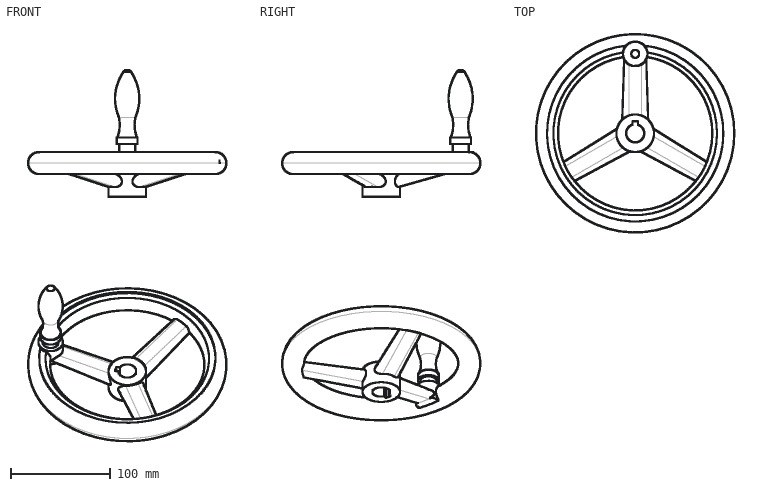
import cadquery as cq

HUB_RADIUS = 19.0
HUB_HEIGHT = 24.5
BORE_RADIUS = 9.0
KEYWAY_WIDTH = 5.5
KEYWAY_REACH = 12.0

WHEEL_RADIUS = 100.0
TUBE_RADIUS = 11.2
RIM_RADIUS = WHEEL_RADIUS - TUBE_RADIUS
RIM_TOP = 45.2
RIM_CENTER_Z = RIM_TOP - TUBE_RADIUS
STEP_DEPTH = 2.0

SPOKE_COUNT = 3
SPOKE_FLAT_WIDTH = 12.8
SPOKE_END = 84.0
SPOKE_INNER_RADIUS = 7.2
SPOKE_OUTER_RADIUS = 4.5
SPOKE_INNER_Z = 12.0
SPOKE_OUTER_Z = 33.2

HANDLE_Y = 80.0
BOSS_RADIUS = 12.5
BOSS_HEIGHT = 19.8
STEM_RADIUS = 8.2
COLLAR_RADIUS = 10.5
COLLAR_BOTTOM = 53.0
COLLAR_TOP = 59.5
SHOULDER_RADIUS = 10.0
NECK_RADIUS = 7.5
NECK_Z = 70.8
GRIP_START_RADIUS = 8.5
GRIP_START_Z = 80.0
GRIP_RADIUS = 12.5
GRIP_WIDEST_Z = 99.0
TIP_RADIUS = 4.0
TIP_EDGE_Z = 126.0
HANDLE_TOP = 128.0


def make_rim():
    tube = cq.Workplane("XZ").center(RIM_RADIUS, RIM_CENTER_Z).circle(TUBE_RADIUS)
    ring = tube.revolve(360, (-RIM_RADIUS, 0, 0), (-RIM_RADIUS, 1, 0))
    step = cq.Workplane("XY", origin=(0, 0, RIM_TOP - STEP_DEPTH)).circle(RIM_RADIUS).extrude(STEP_DEPTH)
    return ring.cut(step)


def make_spoke(angle):
    def section(y, z, radius):
        plane = cq.Workplane("XZ", origin=(0, y, z))
        return plane.slot2D(SPOKE_FLAT_WIDTH + 2 * radius, 2 * radius).wires().val()

    inner = section(0, SPOKE_INNER_Z, SPOKE_INNER_RADIUS)
    outer = section(SPOKE_END, SPOKE_OUTER_Z, SPOKE_OUTER_RADIUS)
    spoke = cq.Workplane(cq.Solid.makeLoft([inner, outer], True))
    return spoke.rotate((0, 0, 0), (0, 0, 1), angle)


def make_handle():
    boss_bottom = RIM_TOP - BOSS_HEIGHT
    boss = cq.Workplane("XY", origin=(0, HANDLE_Y, boss_bottom)).circle(BOSS_RADIUS).extrude(BOSS_HEIGHT)
    profile = (
        cq.Workplane("XZ", origin=(0, HANDLE_Y, 0))
        .moveTo(0, boss_bottom)
        .lineTo(STEM_RADIUS, boss_bottom)
        .lineTo(STEM_RADIUS, COLLAR_BOTTOM)
        .lineTo(COLLAR_RADIUS, COLLAR_BOTTOM)
        .lineTo(COLLAR_RADIUS, COLLAR_TOP)
        .lineTo(SHOULDER_RADIUS, COLLAR_TOP)
        .spline([(NECK_RADIUS, NECK_Z), (GRIP_START_RADIUS, GRIP_START_Z)], includeCurrent=True)
        .spline(
            [(GRIP_RADIUS, GRIP_WIDEST_Z), (TIP_RADIUS, TIP_EDGE_Z)],
            includeCurrent=True,
        )
        .spline([(0, HANDLE_TOP)], tangents=[(-1, 1), (-1, 0)], includeCurrent=True)
        .close()
    )
    return boss.union(profile.revolve(360, (0, 0, 0), (0, 1, 0)))


def make_bore():
    bore = cq.Workplane("XY").circle(BORE_RADIUS).extrude(HUB_HEIGHT)
    keyway = cq.Workplane("XY").center(0, KEYWAY_REACH / 2).rect(KEYWAY_WIDTH, KEYWAY_REACH).extrude(HUB_HEIGHT)
    return bore.union(keyway)


result = cq.Workplane("XY").circle(HUB_RADIUS).extrude(HUB_HEIGHT)
for index in range(SPOKE_COUNT):
    result = result.union(make_spoke(index * 360 / SPOKE_COUNT))
result = result.union(make_rim()).union(make_handle()).cut(make_bore())